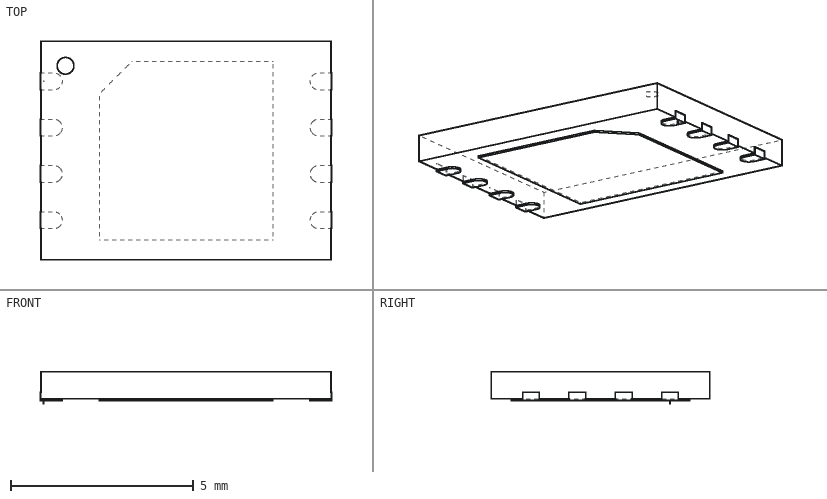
import cadquery as cq

overall_length = 8.0
body_width = 6.0
body_height = 0.75

terminal_count = 4
terminal_pitch = 1.27
terminal_width = 0.46
terminal_length = 0.6
terminal_rise = 0.18
plating_thickness = 0.02
standoff = 0.05

thermal_pad_length = 4.75
thermal_pad_width = 4.9
thermal_pad_chamfer = 0.88

marker_diameter = 0.46
marker_depth = 0.01
marker_edge_distance = 0.675

peg_diameter = 0.02
peg_length = 0.08
peg_inset = 0.09

body_length = overall_length - 2 * plating_thickness
body_top = standoff + body_height
first_terminal_y = (terminal_count - 1) * terminal_pitch / 2
end_x = overall_length / 2


def make_body():
    """Flat rectangular package body, raised by the standoff."""
    body = cq.Workplane("XY").workplane(offset=standoff)
    return body.rect(body_length, body_width).extrude(body_height)


def make_terminal(side, y):
    """Terminal with a round inner end; side is -1 for the -X end and +1 for the +X end."""
    radius = terminal_width / 2
    outer_x = side * end_x
    arc_start_x = side * (end_x - terminal_length + radius)
    arc_middle_x = side * (end_x - terminal_length)
    foot = (
        cq.Workplane("XY")
        .moveTo(outer_x, y - radius)
        .lineTo(arc_start_x, y - radius)
        .threePointArc((arc_middle_x, y), (arc_start_x, y + radius))
        .lineTo(outer_x, y + radius)
        .close()
        .extrude(standoff)
    )
    lip = (
        cq.Workplane("XY")
        .center(side * (end_x - plating_thickness / 2), y)
        .rect(plating_thickness, terminal_width)
        .extrude(standoff + terminal_rise)
    )
    return foot.union(lip)


def make_thermal_pad():
    """Central pad with its corner nearest pin 1 (-X, +Y) cut off."""
    pad = cq.Workplane("XY").rect(thermal_pad_length, thermal_pad_width).extrude(standoff)
    return pad.edges("|Z").edges("<X").edges(">Y").chamfer(thermal_pad_chamfer)


def make_marker_recess():
    """Shallow round recess in the top face beside pin 1."""
    marker_x = -body_length / 2 + marker_edge_distance
    marker_y = body_width / 2 - marker_edge_distance
    recess = cq.Workplane("XY").workplane(offset=body_top - marker_depth)
    return recess.center(marker_x, marker_y).circle(marker_diameter / 2).extrude(marker_depth)


def make_peg():
    """Thin peg hanging below the pin 1 terminal."""
    peg = cq.Workplane("XY").center(-end_x + peg_inset, first_terminal_y)
    return peg.circle(peg_diameter / 2).extrude(-peg_length)


result = make_body().cut(make_marker_recess()).union(make_thermal_pad()).union(make_peg())
for side in (-1, 1):
    for index in range(terminal_count):
        result = result.union(make_terminal(side, first_terminal_y - index * terminal_pitch))